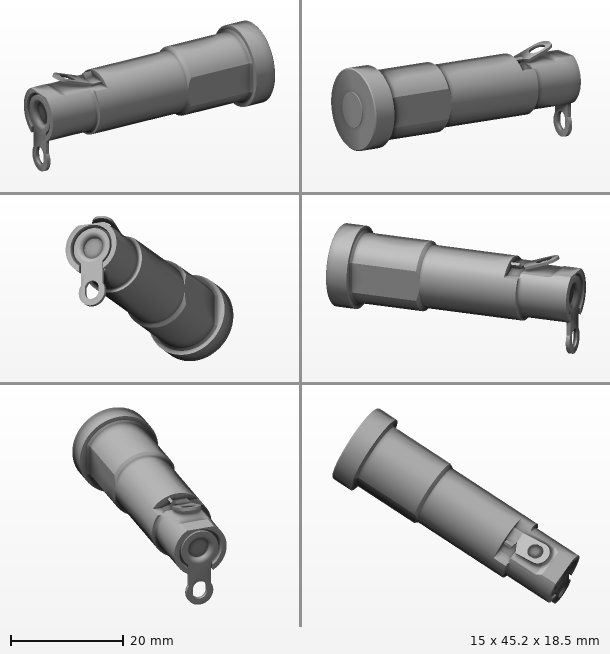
import cadquery as cq
import math


head_radius = 7.5
head_length = 4.0
head_edge_chamfer = 0.2
button_radius = 3.25
button_height = 0.2

collar_end = -4.4
collar_flare_angle = 45
shank_radius = 6.35
sleeve_radius = 5.7
shank_end = -16.6
sleeve_start = shank_end - (shank_radius - sleeve_radius)
sleeve_end = -35.6
barrel_radius = 5.0
barrel_end = -45.0
shoulder_fillet = 0.4
flat_half_width = sleeve_radius

notch_start = -33.0
seat_height = 3.95
low_seat_height = 3.35
low_seat_edge = -2.8
seat_edge = -0.6
pad_height = 4.3
ramp_start = -41.0
pad_start = -42.0

sheet_thickness = 0.5
plate_left = seat_edge
plate_right = 1.95
bend_y = -34.9
ear_start = -33.2
ear_end = -34.8
ear_angle = math.radians(45)
ear_length = 1.17
tab_angle = 20
tab_length = 7.05
tab_half_width = 2.0
tab_shoulder = 1.1
tab_slot_width = 2.6
tab_slot_length = 3.1
tab_slot_distance = 4.2

socket_depth = 1.0
socket_floor_radius = 3.85
socket_mouth_radius = 4.06
lug_thickness = 0.72
lug_disc_radius = 3.52
lug_half_width = 2.1
lug_slot_half_width = 2.38
lug_ring_radius = 2.55
lug_reach = 11.0
lug_ring_z = lug_ring_radius - lug_reach
lug_hole_radius = 1.34
lug_hole_stretch = 0.73
dimple_radius = 1.9
dimple_lip_radius = 0.94

big = 4 * head_radius


def box(x_range, y_range, z_range):
    """Axis-aligned box given by its limits in X, Y and Z."""
    ranges = (x_range, y_range, z_range)
    lows = tuple(min(limits) for limits in ranges)
    sizes = tuple(max(limits) - min(limits) for limits in ranges)
    return cq.Workplane("XY").box(*sizes, centered=False).translate(lows)


def cylinder(radius, y_start, y_end):
    """Solid cylinder on the Y axis running from y_start down to y_end."""
    return cq.Workplane("XZ", origin=(0, y_start, 0)).circle(radius).extrude(y_start - y_end)


def frustum(start_radius, y_start, end_radius, y_end):
    """Solid of revolution on the Y axis with a straight sloped side."""
    outline = [(0, y_start), (start_radius, y_start), (end_radius, y_end), (0, y_end)]
    return cq.Workplane("XY").polyline(outline).close().revolve(360, (0, 0, 0), (0, 1, 0))


def make_head():
    head = cylinder(head_radius, 0, -head_length)
    head = head.faces(">Y").edges().chamfer(head_edge_chamfer)
    return head.union(cylinder(button_radius, button_height, 0))


def make_shoulder_fillet():
    """Short round solid whose side is the concave fillet between sleeve face and barrel."""
    arc_inset = shoulder_fillet * (1 - math.sqrt(0.5))
    fillet_end = sleeve_end - shoulder_fillet
    return (
        cq.Workplane("XY")
        .moveTo(0, sleeve_end)
        .lineTo(barrel_radius + shoulder_fillet, sleeve_end)
        .threePointArc((barrel_radius + arc_inset, sleeve_end - arc_inset), (barrel_radius, fillet_end))
        .lineTo(0, fillet_end)
        .close()
        .revolve(360, (0, 0, 0), (0, 1, 0))
    )


def make_body():
    shank = cylinder(shank_radius, -head_length, shank_end)
    shank = shank.union(frustum(shank_radius, shank_end, sleeve_radius, sleeve_start))
    shank = shank.intersect(box((-flat_half_width, flat_half_width), (0, barrel_end), (-big, big)))

    flat_half_height = math.sqrt(shank_radius**2 - flat_half_width**2)
    collar = (
        cq.Workplane("XZ", origin=(0, collar_end, 0))
        .moveTo(flat_half_width, -flat_half_height)
        .lineTo(flat_half_width, flat_half_height)
        .threePointArc((0, shank_radius), (-flat_half_width, flat_half_height))
        .lineTo(-flat_half_width, -flat_half_height)
        .threePointArc((0, -shank_radius), (flat_half_width, -flat_half_height))
        .close()
        .extrude(collar_end + head_length, taper=-collar_flare_angle)
    )

    sleeve = cylinder(sleeve_radius, sleeve_start, sleeve_end)
    shoulder = make_shoulder_fillet()
    barrel = cylinder(barrel_radius, sleeve_end, barrel_end)
    return shank.union(collar).union(sleeve).union(shoulder).union(barrel)


def cut_top_flats(body):
    seat_cut = (
        cq.Workplane("YZ", origin=(-big / 2, 0, 0))
        .polyline([
            (notch_start, seat_height),
            (ramp_start, seat_height),
            (pad_start, pad_height),
            (barrel_end, pad_height),
            (barrel_end, big),
            (notch_start, big),
        ])
        .close()
        .extrude(big)
    )
    low_seat_cut = (
        cq.Workplane("XZ", origin=(0, notch_start, 0))
        .polyline([
            (-big, low_seat_height),
            (low_seat_edge, low_seat_height),
            (seat_edge, seat_height),
            (seat_edge, big),
            (-big, big),
        ])
        .close()
        .extrude(notch_start - sleeve_end)
    )
    ring_y = (sleeve_end, sleeve_end - shoulder_fillet)
    ring_cut = box((-big, low_seat_edge), ring_y, (low_seat_height, big))
    ring_cut = ring_cut.cut(cylinder(barrel_radius, *ring_y))
    return body.cut(seat_cut).cut(low_seat_cut).cut(ring_cut)


def make_terminal():
    top = seat_height + sheet_thickness
    plate = box((plate_left, plate_right), (notch_start, bend_y), (seat_height, top))

    rise = ear_length * math.sin(ear_angle)
    run = ear_length * math.cos(ear_angle)
    shift_x = sheet_thickness * math.sin(ear_angle)
    shift_z = sheet_thickness * math.cos(ear_angle)
    bend_offset = sheet_thickness * math.tan(ear_angle / 2)
    ear = (
        cq.Workplane("XZ", origin=(0, ear_start, 0))
        .polyline([
            (plate_left, top),
            (plate_left - run, top + rise),
            (plate_left - run - shift_x, top + rise - shift_z),
            (plate_left - bend_offset, seat_height),
            (plate_left, seat_height),
        ])
        .close()
        .extrude(ear_start - ear_end)
    )

    bend_overlap = sheet_thickness * math.tan(math.radians(tab_angle))
    end_center = tab_length - tab_half_width
    tab = (
        cq.Workplane("XY")
        .moveTo(0, bend_overlap)
        .lineTo(plate_right, bend_overlap)
        .lineTo(tab_half_width, -end_center)
        .threePointArc((0, -tab_length), (-tab_half_width, -end_center))
        .lineTo(-tab_half_width, -tab_shoulder)
        .lineTo(0, 0)
        .close()
        .extrude(-sheet_thickness)
    )
    slot = cq.Workplane("XY").center(0, -tab_slot_distance)
    slot = slot.slot2D(tab_slot_length, tab_slot_width, angle=90)
    tab = tab.cut(slot.extrude(-sheet_thickness))
    tab = tab.rotate((0, 0, 0), (1, 0, 0), -tab_angle).translate((0, bend_y, top))
    return plate.union(ear).union(tab)


def cut_socket(body):
    floor_y = barrel_end + socket_depth
    socket = frustum(socket_floor_radius, floor_y, socket_mouth_radius, barrel_end)
    exit_slot = box((-lug_slot_half_width, lug_slot_half_width), (floor_y, barrel_end), (-big, 0))
    return body.cut(socket).cut(exit_slot)


def make_lug():
    back_y = barrel_end + socket_depth
    front_y = back_y - lug_thickness
    lug = cylinder(lug_disc_radius, back_y, front_y)
    lug = lug.union(box((-lug_half_width, lug_half_width), (back_y, front_y), (lug_ring_z, 0)))
    lug = lug.union(cylinder(lug_ring_radius, back_y, front_y).translate((0, 0, lug_ring_z)))
    hole = cylinder(lug_hole_radius, back_y, front_y)
    upper_hole_z = lug_ring_z + lug_hole_stretch
    lug = lug.cut(hole.translate((0, 0, lug_ring_z))).cut(hole.translate((0, 0, upper_hole_z)))
    hole_x = (-lug_hole_radius, lug_hole_radius)
    return lug.cut(box(hole_x, (back_y, front_y), (lug_ring_z, upper_hole_z)))


def make_dimple():
    front_y = barrel_end + socket_depth - lug_thickness
    floor_y = front_y + dimple_lip_radius
    lip_radius = dimple_radius + dimple_lip_radius
    arc_middle = dimple_lip_radius * math.sqrt(0.5)
    return (
        cq.Workplane("XY")
        .moveTo(0, floor_y)
        .lineTo(dimple_radius, floor_y)
        .threePointArc((lip_radius - arc_middle, floor_y - arc_middle), (lip_radius, front_y))
        .lineTo(0, front_y)
        .close()
        .revolve(360, (0, 0, 0), (0, 1, 0))
    )


body = cut_socket(cut_top_flats(make_body()))
result = make_head().union(body).union(make_terminal()).union(make_lug()).cut(make_dimple())